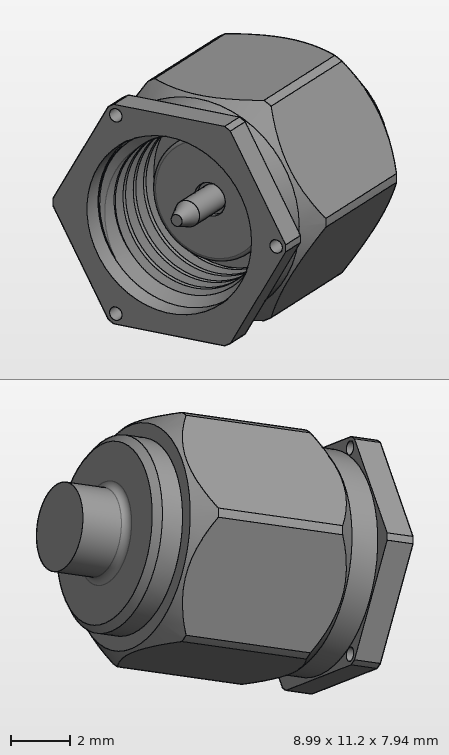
import cadquery as cq
import math


NUT_ACROSS_FLATS = 7.94
FLANGE_ACROSS_FLATS = 7.91
CORNER_DIAMETER = 8.99
NECK_DIAMETER = 7.76
FLANGE_END = 1.02
NECK_END = 2.03
NUT_END = 8.38
CHAMFER_ANGLE = 50.0

WIRE_HOLE_DIAMETER = 0.48
WIRE_HOLE_CIRCLE_RADIUS = 4.125
WIRE_HOLE_COUNT = 3

COLLAR_DIAMETER = 6.75
COLLAR_END = 9.42
COLLAR_CHAMFER = 0.25
FERRULE_DIAMETER = 3.05
FERRULE_FILLET = 0.25
OVERALL_LENGTH = 11.18

BORE_DIAMETER = 6.35
ENTRY_DEPTH = 0.762
SOCKET_DEPTH = 3.9
THREAD_MAJOR_DIAMETER = 6.32
MM_PER_INCH = 25.4
THREADS_PER_INCH = 36
THREAD_PITCH = MM_PER_INCH / THREADS_PER_INCH
THREAD_HEIGHT_RATIO = 0.5413
THREAD_DEPTH = THREAD_HEIGHT_RATIO * THREAD_PITCH
THREAD_MINOR_DIAMETER = THREAD_MAJOR_DIAMETER - 2 * THREAD_DEPTH
THREAD_ROOT_WIDTH = THREAD_PITCH / 8
THREAD_FLANK_ANGLE = 30.0
THREAD_OVERLAP = 0.05
THREAD_START_ANGLE = 158.0

INSERT_DIAMETER = 4.45
INSERT_FACE = 2.8
INSERT_FILLET = 0.127
PIN_DIAMETER = 0.94
PIN_TIP_DIAMETER = 0.42
PIN_TIP = 0.51
PIN_TAPER_LENGTH = 0.74
PIN_CLEARANCE_DIAMETER = 1.19
PIN_CLEARANCE_DEPTH = 0.25


def disc(diameter, start, end):
    """Cylinder on the Y axis between two stations."""
    return cq.Workplane("XZ", origin=(0, start, 0)).circle(diameter / 2).extrude(start - end)


def revolved(points):
    """Solid of revolution about Y from (radius, y) points."""
    return cq.Workplane("XY").polyline(points).close().revolve(360, (0, 0), (0, 1))


def hexagon(across_flats, start, end):
    """Hexagonal prism with two corners on the X axis."""
    across_corners = across_flats / math.cos(math.radians(30))
    return cq.Workplane("XZ", origin=(0, start, 0)).polygon(6, across_corners).extrude(start - end)


def make_flange():
    flange = hexagon(FLANGE_ACROSS_FLATS, 0, FLANGE_END)
    flange = flange.intersect(disc(CORNER_DIAMETER, 0, FLANGE_END))
    for index in range(WIRE_HOLE_COUNT):
        angle = index * 360 / WIRE_HOLE_COUNT
        hole = disc(WIRE_HOLE_DIAMETER, 0, FLANGE_END).translate((WIRE_HOLE_CIRCLE_RADIUS, 0, 0))
        flange = flange.cut(hole.rotate((0, 0, 0), (0, 1, 0), angle))
    return flange


def make_nut():
    corner_radius = CORNER_DIAMETER / 2
    end_radius = NECK_DIAMETER / 2
    chamfer_length = (corner_radius - end_radius) * math.tan(math.radians(CHAMFER_ANGLE))
    turned_envelope = revolved([
        (0, NECK_END),
        (end_radius, NECK_END),
        (corner_radius, NECK_END + chamfer_length),
        (corner_radius, NUT_END - chamfer_length),
        (end_radius, NUT_END),
        (0, NUT_END),
    ])
    return hexagon(NUT_ACROSS_FLATS, NECK_END, NUT_END).intersect(turned_envelope)


def make_rear():
    collar_radius = COLLAR_DIAMETER / 2
    ferrule_radius = FERRULE_DIAMETER / 2
    flare_offset = FERRULE_FILLET * (1 - math.sqrt(0.5))
    profile = (
        cq.Workplane("XY")
        .moveTo(0, NUT_END)
        .lineTo(collar_radius, NUT_END)
        .lineTo(collar_radius, COLLAR_END - COLLAR_CHAMFER)
        .lineTo(collar_radius - COLLAR_CHAMFER, COLLAR_END)
        .lineTo(ferrule_radius + FERRULE_FILLET, COLLAR_END)
        .threePointArc(
            (ferrule_radius + flare_offset, COLLAR_END + flare_offset),
            (ferrule_radius, COLLAR_END + FERRULE_FILLET),
        )
        .lineTo(ferrule_radius, OVERALL_LENGTH)
        .lineTo(0, OVERALL_LENGTH)
        .close()
    )
    return profile.revolve(360, (0, 0), (0, 1))


def make_tap():
    """Threaded core of the socket: minor-diameter rod carrying the thread ridge."""
    minor_radius = THREAD_MINOR_DIAMETER / 2
    major_radius = THREAD_MAJOR_DIAMETER / 2
    slope = math.tan(math.radians(THREAD_FLANK_ANGLE))
    root_half = THREAD_ROOT_WIDTH / 2
    mouth_half = root_half + (THREAD_DEPTH + THREAD_OVERLAP) * slope
    helix_start = ENTRY_DEPTH - THREAD_PITCH
    helix_length = SOCKET_DEPTH - ENTRY_DEPTH + 2 * THREAD_PITCH
    helix = cq.Wire.makeHelix(THREAD_PITCH, helix_length, minor_radius)
    ridge = (
        cq.Workplane("XZ")
        .polyline([
            (minor_radius - THREAD_OVERLAP, -mouth_half),
            (major_radius, -root_half),
            (major_radius, root_half),
            (minor_radius - THREAD_OVERLAP, mouth_half),
        ])
        .close()
        .sweep(cq.Workplane(helix), isFrenet=True)
        .rotate((0, 0, 0), (1, 0, 0), -90)
        .rotate((0, 0, 0), (0, 1, 0), THREAD_START_ANGLE)
        .translate((0, helix_start, 0))
    )
    rod = disc(THREAD_MINOR_DIAMETER, helix_start - THREAD_PITCH, helix_start + helix_length + THREAD_PITCH)
    trim = disc(CORNER_DIAMETER, helix_start - 2 * THREAD_PITCH, SOCKET_DEPTH)
    return rod.union(ridge).intersect(trim)


def cut_socket(body):
    bore_radius = BORE_DIAMETER / 2
    minor_radius = THREAD_MINOR_DIAMETER / 2
    cone_end = ENTRY_DEPTH + bore_radius - minor_radius
    entry = revolved([
        (0, 0),
        (bore_radius, 0),
        (bore_radius, ENTRY_DEPTH),
        (minor_radius, cone_end),
        (0, cone_end),
    ])
    return body.cut(entry).cut(make_tap())


def make_insert():
    insert = disc(INSERT_DIAMETER, INSERT_FACE, SOCKET_DEPTH)
    insert = insert.faces("<Y").fillet(INSERT_FILLET)
    return insert.cut(disc(PIN_CLEARANCE_DIAMETER, INSERT_FACE, INSERT_FACE + PIN_CLEARANCE_DEPTH))


def make_pin():
    return revolved([
        (0, PIN_TIP),
        (PIN_TIP_DIAMETER / 2, PIN_TIP),
        (PIN_DIAMETER / 2, PIN_TIP + PIN_TAPER_LENGTH),
        (PIN_DIAMETER / 2, SOCKET_DEPTH),
        (0, SOCKET_DEPTH),
    ])


shell = make_flange().union(disc(NECK_DIAMETER, FLANGE_END, NECK_END))
shell = shell.union(make_nut()).union(make_rear())
result = cut_socket(shell).union(make_insert()).union(make_pin())